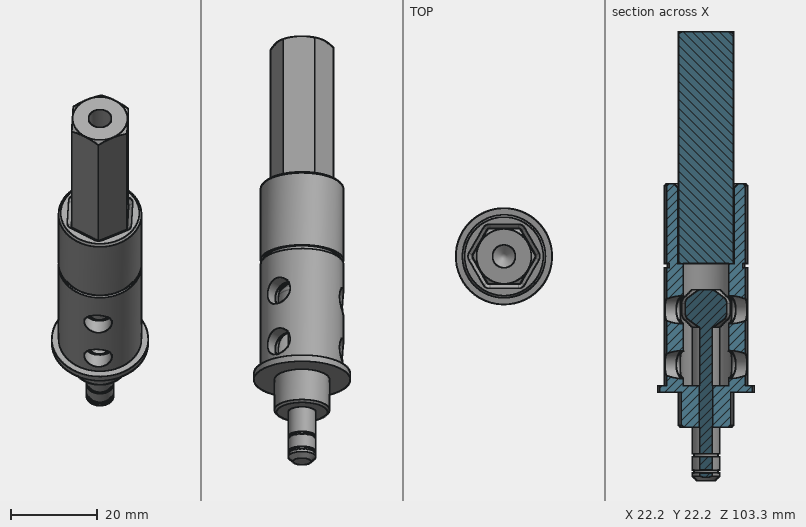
import cadquery as cq
import math


total_height = 103.3
boss_bottom = 12.3
flange_bottom = 20.4
flange_top = 21.9
socket_floor = 50.0
housing_top = 68.4

flange_diameter = 22.2
tube_diameter = 19.1
boss_diameter = 12.7
bore_diameter = 11.8
edge_chamfer = 0.5
ring_groove_width = 0.9
ring_groove_depth = 0.6

cross_hole_diameter = 6.2
counterbore_diameter = 6.4
counterbore_floor_radius = 6.1
cross_hole_heights = (26.8, 39.4)
cross_hole_count = 3
first_hole_angle = 180.0

rod_flats = 12.7
socket_flats = 12.9
socket_corner_radius = 0.7
socket_chamfer = 0.9
rod_end_radius = 6.3
rod_chamfer_angle = 30.0
drill_diameter = 5.3
drill_depth = 12.4
drill_point_angle = 118.0

pin_diameter = 6.4
pin_groove_width = 0.6
pin_groove_depth = 0.4
upper_pin_groove_bottom = 5.6
lower_pin_groove_bottom = 1.9
pin_tip_chamfer = 1.1
head_diameter = 11.2
head_middle = 39.7
head_band_height = 2.5
head_edge_radius = 1.8
head_cone_angle = 45.0


def cylinder(diameter, bottom, top):
    return cq.Workplane("XY").workplane(offset=bottom).circle(diameter / 2).extrude(top - bottom)


def hexagon(flats, bottom, top):
    """Hexagonal prism with two corners on the X axis."""
    corner_diameter = flats / math.cos(math.pi / 6)
    return cq.Workplane("XY").workplane(offset=bottom).polygon(6, corner_diameter).extrude(top - bottom)


def groove_ring(diameter, depth, bottom, width):
    """Ring to be cut from a cylinder of the given diameter."""
    ring = cylinder(diameter + 2 * depth, bottom, bottom + width)
    return ring.cut(cylinder(diameter - 2 * depth, bottom, bottom + width))


def revolve_profile(profile):
    """Closed profile of (radius, height) turned about the Z axis."""
    return profile.close().revolve(360, (0, 0, 0), (0, 1, 0))


def make_cross_holes():
    """Radial cutters from the axis out through one side of the wall, wider outside the floor radius."""
    reach = flange_diameter / 2
    cutter = (
        cq.Workplane("YZ").circle(cross_hole_diameter / 2).extrude(reach)
        .union(
            cq.Workplane("YZ").workplane(offset=counterbore_floor_radius)
            .circle(counterbore_diameter / 2).extrude(reach - counterbore_floor_radius)
        )
    )
    cutters = []
    for height in cross_hole_heights:
        for index in range(cross_hole_count):
            angle = first_hole_angle + index * 360 / cross_hole_count
            placed = cutter.rotate((0, 0, 0), (0, 0, 1), angle).translate((0, 0, height))
            cutters.append(placed)
    return cutters


def make_housing():
    tube = cylinder(tube_diameter, flange_bottom, housing_top).faces(">Z").chamfer(edge_chamfer)
    boss = cylinder(boss_diameter, boss_bottom, flange_bottom).faces("<Z").chamfer(edge_chamfer)
    housing = tube.union(cylinder(flange_diameter, flange_bottom, flange_top)).union(boss)
    ring_groove_bottom = socket_floor - ring_groove_width
    housing = housing.cut(
        groove_ring(tube_diameter, ring_groove_depth, ring_groove_bottom, ring_groove_width)
    )
    housing = housing.cut(cylinder(bore_diameter, flange_top, socket_floor))
    housing = housing.cut(cylinder(pin_diameter, boss_bottom, flange_top))
    for cutter in make_cross_holes():
        housing = housing.cut(cutter)
    socket = hexagon(socket_flats, socket_floor, housing_top).edges("|Z").fillet(socket_corner_radius)
    housing = housing.cut(socket)
    return housing.faces(">Z").wires(cq.selectors.LengthNthSelector(0)).chamfer(socket_chamfer)


def make_rod():
    rod = hexagon(rod_flats, socket_floor, total_height)
    slope = math.tan(math.radians(rod_chamfer_angle))
    cone_drop = (rod_flats - rod_end_radius) * slope
    envelope = revolve_profile(
        cq.Workplane("XZ")
        .moveTo(0, socket_floor)
        .lineTo(rod_flats, socket_floor)
        .lineTo(rod_flats, total_height - cone_drop)
        .lineTo(rod_end_radius, total_height)
        .lineTo(0, total_height)
    )
    drill_radius = drill_diameter / 2
    point_length = drill_radius / math.tan(math.radians(drill_point_angle / 2))
    drill = revolve_profile(
        cq.Workplane("XZ")
        .moveTo(0, total_height)
        .lineTo(drill_radius, total_height)
        .lineTo(drill_radius, total_height - drill_depth)
        .lineTo(0, total_height - drill_depth - point_length)
    )
    return rod.intersect(envelope).cut(drill)


def make_pin_head():
    """Straight band, rounded at both edges into cones that end at the shaft diameter."""
    band_radius = head_diameter / 2
    shaft_radius = pin_diameter / 2
    half_band = head_band_height / 2
    cone_angle = math.radians(head_cone_angle)

    def edge_point(turn):
        """Radius, and rise above the head middle, after the edge has turned by the given angle."""
        radius = band_radius - head_edge_radius * (1 - math.cos(turn))
        return radius, half_band + head_edge_radius * math.sin(turn)

    arc_middle_radius, arc_middle_rise = edge_point(cone_angle / 2)
    arc_end_radius, arc_end_rise = edge_point(cone_angle)
    half_head = arc_end_rise + (arc_end_radius - shaft_radius) / math.tan(cone_angle)
    upper_half = revolve_profile(
        cq.Workplane("XZ")
        .lineTo(band_radius, 0)
        .lineTo(band_radius, half_band)
        .threePointArc((arc_middle_radius, arc_middle_rise), (arc_end_radius, arc_end_rise))
        .lineTo(shaft_radius, half_head)
        .lineTo(0, half_head)
    )
    head = upper_half.union(upper_half.mirror("XY")).clean()
    return head.translate((0, 0, head_middle))


def make_pin():
    shaft = cylinder(pin_diameter, 0, head_middle).faces("<Z").chamfer(pin_tip_chamfer)
    for bottom in (upper_pin_groove_bottom, lower_pin_groove_bottom):
        shaft = shaft.cut(groove_ring(pin_diameter, pin_groove_depth, bottom, pin_groove_width))
    return shaft.union(make_pin_head())


housing = make_housing()
rod = make_rod()
pin = make_pin()

result = cq.Compound.makeCompound([body.solids().val() for body in (housing, rod, pin)])